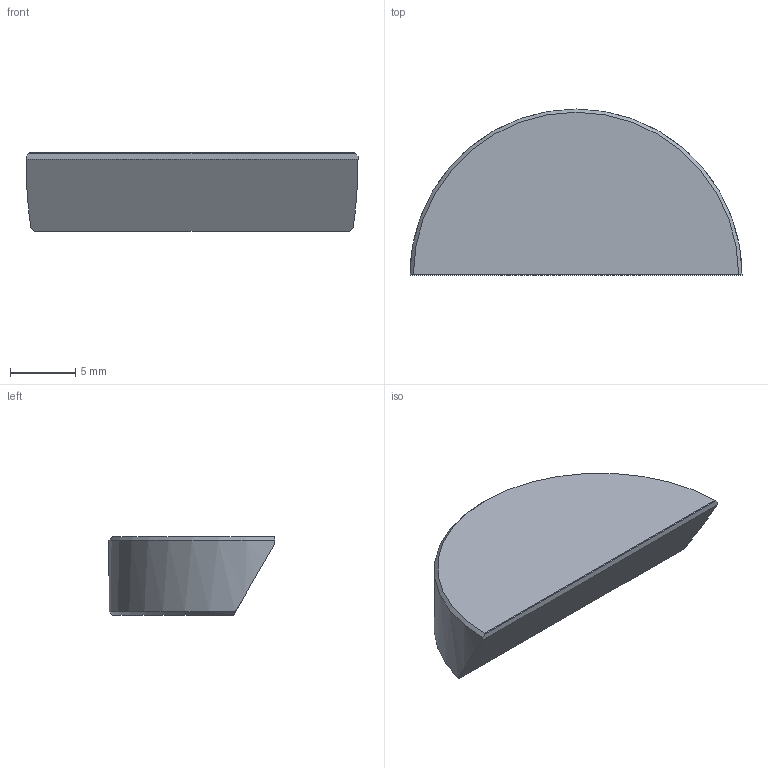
import cadquery as cq
import math

diameter = 25.4
height = 6.0
edge_chamfer = 0.25
lip_chamfer = 0.05
lip_height = 0.5
undercut_angle = 30.0

radius = diameter / 2
slope_height = height - lip_height
undercut_depth = slope_height * math.tan(math.radians(undercut_angle))


def chamfered_disc():
    """Full disc, centred on the Z axis, with both rims chamfered."""
    disc = cq.Workplane("XY").circle(radius).extrude(height)
    return disc.faces("<Z or >Z").edges().chamfer(edge_chamfer)


def kept_region():
    """Prism along X whose YZ profile bounds the half disc and its sloping front."""
    profile = [
        (undercut_depth, 0),
        (radius, 0),
        (radius, height),
        (lip_chamfer, height),
        (0, height - lip_chamfer),
        (0, slope_height),
    ]
    return cq.Workplane("YZ").polyline(profile).close().extrude(radius, both=True)


result = chamfered_disc().intersect(kept_region())